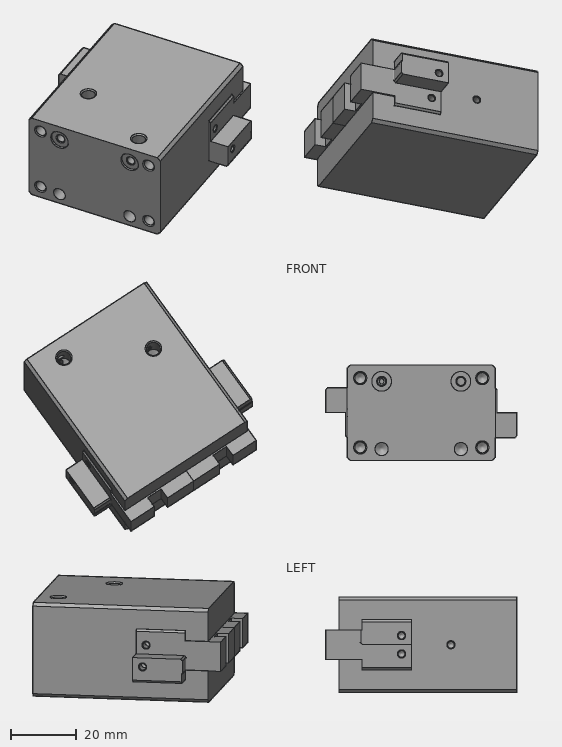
import cadquery as cq
import math


HOUSING_WIDTH = 45.0
HOUSING_LENGTH = 54.0
HOUSING_HEIGHT = 29.0
HOUSING_CHAMFER = 1.0
HOUSING_SIDE_X = HOUSING_WIDTH / 2
HOUSING_TOP_Z = HOUSING_HEIGHT / 2

OVERALL_WIDTH = 58.0
OVERALL_LENGTH = 58.0
JAW_REACH = 23.0
BASE_HALF_HEIGHT = 7.6
BASE_REAR_Y = 31.9
BASE_FRONT_Y = 47.0
BASE_EDGE_CHAMFER = 0.65
FINGER_HALF_HEIGHT = 4.5
LUG_REACH = OVERALL_WIDTH / 2
LUG_STEP = 0.3
LUG_INNER_CHAMFER = 0.5
LUG_ROOT_FILLET = 0.25
NOTCH_WIDTH = 4.9
NOTCH_DEPTH = 3.5

PORT_X = 12.0

DRILL_POINT_ANGLE = 118.0
CORNER_HOLE_X = 18.5
CORNER_HOLE_Z = 10.5
CORNER_HOLE_DIAMETER = 3.3
CORNER_HOLE_MOUTH = 4.0
CORNER_HOLE_DEPTH = 8.0
DOWEL_HOLE_Z = -11.0
DOWEL_HOLE_DIAMETER = 4.0
DOWEL_HOLE_DEPTH = 8.0
SCREW_HOLE_DIAMETER = 2.05
SCREW_HOLE_MOUTH = 2.5
SCREW_HOLE_DEPTH = 4.0
SIDE_HOLE_Y = 20.0
JAW_HOLE_Y = 35.0
JAW_HOLE_Z = 2.8

LEFT_PORT_Y = 18.9
RIGHT_PORT_Y = 6.0
PORT_DIAMETER = 4.2
PORT_MOUTH = 5.0
PORT_DEPTH = 6.95
PASSAGE_DIAMETER = 1.0
RIGHT_PASSAGE_OFFSET = -1.4

REAR_PORT_Z = 9.5
REAR_PORT_DIAMETER = 2.5
REAR_PORT_MOUTH = 3.0
REAR_PORT_RECESS_DIAMETER = 6.0
REAR_PORT_RECESS_DEPTH = 0.7
LEFT_REAR_PORT_DEPTH = 16.6

INTO_REAR = cq.Vector(0, 1, 0)
INTO_LEFT = cq.Vector(1, 0, 0)
INTO_TOP = cq.Vector(0, 0, -1)


def box_between(x_range, y_range, z_range):
    """Box given by its (low, high) limits on each axis."""
    sizes = [high - low for low, high in (x_range, y_range, z_range)]
    return cq.Workplane("XY").box(*sizes, centered=False).translate((x_range[0], y_range[0], z_range[0]))


def cylinder(diameter, depth, position, direction):
    """Flat-ended cylinder that starts at a position and runs along a direction."""
    return cq.Workplane(cq.Solid.makeCylinder(diameter / 2, depth, cq.Vector(*position), direction))


def drilled_hole(diameter, depth, position, direction, mouth=None):
    """Cutting body for a blind hole with a conical floor and an optional 45 degree countersink."""
    radius = diameter / 2
    start = cq.Vector(*position)
    point_length = radius / math.tan(math.radians(DRILL_POINT_ANGLE / 2))
    point = cq.Solid.makeCone(radius, 0, point_length, start + direction * depth, direction)
    hole = cylinder(diameter, depth, position, direction).union(cq.Workplane(point))
    if mouth is not None:
        sink_depth = (mouth - diameter) / 2
        sink = cq.Solid.makeCone(mouth / 2, radius, sink_depth, start, direction)
        hole = hole.union(cq.Workplane(sink))
    return hole



def housing_block():
    block = box_between(
        (-HOUSING_SIDE_X, HOUSING_SIDE_X), (0, HOUSING_LENGTH), (-HOUSING_TOP_Z, HOUSING_TOP_Z)
    )
    return block.edges("|Y").chamfer(HOUSING_CHAMFER)


def jaw_slot():
    """T-shaped slot across the full width, open at the front."""
    across = (-HOUSING_SIDE_X, HOUSING_SIDE_X)
    base_slot = box_between(across, (BASE_REAR_Y, BASE_FRONT_Y), (-BASE_HALF_HEIGHT, BASE_HALF_HEIGHT))
    finger_slot = box_between(
        across, (BASE_REAR_Y, HOUSING_LENGTH), (-FINGER_HALF_HEIGHT, FINGER_HALF_HEIGHT)
    )
    return base_slot.union(finger_slot)


def cut_mounting_holes(body):
    """Corner screw holes and dowel holes in the rear face."""
    for side in (-1, 1):
        for z in (-CORNER_HOLE_Z, CORNER_HOLE_Z):
            body = body.cut(drilled_hole(
                CORNER_HOLE_DIAMETER, CORNER_HOLE_DEPTH,
                (side * CORNER_HOLE_X, 0, z), INTO_REAR, CORNER_HOLE_MOUTH,
            ))
        body = body.cut(drilled_hole(
            DOWEL_HOLE_DIAMETER, DOWEL_HOLE_DEPTH, (side * PORT_X, 0, DOWEL_HOLE_Z), INTO_REAR
        ))
    return body


def cut_port_pair(body, x, port_y, passage_y, rear_depth):
    """Top port, the passage in its floor and the recessed rear port that meets it."""
    body = body.cut(drilled_hole(
        PORT_DIAMETER, PORT_DEPTH, (x, port_y, HOUSING_TOP_Z), INTO_TOP, PORT_MOUTH
    ))
    passage_top = HOUSING_TOP_Z - PORT_DEPTH
    body = body.cut(cylinder(PASSAGE_DIAMETER, passage_top, (x, passage_y, passage_top), INTO_TOP))
    body = body.cut(cylinder(
        REAR_PORT_RECESS_DIAMETER, REAR_PORT_RECESS_DEPTH, (x, 0, REAR_PORT_Z), INTO_REAR
    ))
    return body.cut(drilled_hole(
        REAR_PORT_DIAMETER, rear_depth - REAR_PORT_RECESS_DEPTH,
        (x, REAR_PORT_RECESS_DEPTH, REAR_PORT_Z), INTO_REAR, REAR_PORT_MOUTH,
    ))


def make_housing():
    body = housing_block().cut(jaw_slot())
    body = cut_mounting_holes(body)
    body = cut_port_pair(body, -PORT_X, LEFT_PORT_Y, LEFT_PORT_Y, LEFT_REAR_PORT_DEPTH)
    body = cut_port_pair(body, PORT_X, RIGHT_PORT_Y, RIGHT_PORT_Y + RIGHT_PASSAGE_OFFSET, RIGHT_PORT_Y)
    return body.cut(drilled_hole(
        SCREW_HOLE_DIAMETER, SCREW_HOLE_DEPTH, (-HOUSING_SIDE_X, SIDE_HOLE_Y, 0), INTO_LEFT, SCREW_HOLE_MOUTH
    ))



def jaw_base():
    """Sliding base with its outer lower edge chamfered."""
    base = box_between(
        (-JAW_REACH, 0), (BASE_REAR_Y, BASE_FRONT_Y), (-BASE_HALF_HEIGHT, BASE_HALF_HEIGHT)
    )
    return base.edges("|Y and <X and <Z").chamfer(BASE_EDGE_CHAMFER)


def jaw_finger():
    """Finger with a notch across its tip."""
    heights = (-FINGER_HALF_HEIGHT, FINGER_HALF_HEIGHT)
    finger = box_between((-JAW_REACH, 0), (BASE_REAR_Y, OVERALL_LENGTH), heights)
    notch = box_between(
        (-PORT_X - NOTCH_WIDTH / 2, -PORT_X + NOTCH_WIDTH / 2),
        (OVERALL_LENGTH - NOTCH_DEPTH, OVERALL_LENGTH), heights,
    )
    return finger.cut(notch)


def jaw_lug():
    """Lug on the upper half of the outer side, with a shallow step on its front at finger height."""
    upper = box_between((-LUG_REACH, -JAW_REACH), (BASE_REAR_Y, BASE_FRONT_Y), (0, BASE_HALF_HEIGHT))
    upper = upper.edges("|Y and <X and >Z").chamfer(BASE_EDGE_CHAMFER)
    step = box_between(
        (-LUG_REACH, -JAW_REACH), (BASE_REAR_Y, BASE_FRONT_Y + LUG_STEP), (0, FINGER_HALF_HEIGHT)
    )
    return upper.union(step).edges("|X and >Y and <Z").chamfer(LUG_INNER_CHAMFER)


def round_lug_root(jaw):
    """Small fillet where the front of the lug step meets the side of the finger."""
    root_middle = (-JAW_REACH, BASE_FRONT_Y + LUG_STEP, FINGER_HALF_HEIGHT / 2)
    return jaw.edges(cq.NearestToPointSelector(root_middle)).fillet(LUG_ROOT_FILLET)


def make_left_jaw():
    jaw = round_lug_root(jaw_base().union(jaw_finger()).union(jaw_lug()))
    hole_mouths = ((-LUG_REACH, JAW_HOLE_Z), (-JAW_REACH, -JAW_HOLE_Z))
    for x, z in hole_mouths:
        jaw = jaw.cut(drilled_hole(
            SCREW_HOLE_DIAMETER, SCREW_HOLE_DEPTH, (x, JAW_HOLE_Y, z), INTO_LEFT, SCREW_HOLE_MOUTH
        ))
    return jaw


def make_jaws():
    """Two equal jaws, half a turn apart about the Y axis."""
    jaws = []
    for turn in (0, 180):
        jaws.append(make_left_jaw().rotate((0, 0, 0), (0, 1, 0), turn))
    return jaws


housing = make_housing()
jaws = make_jaws()
result = cq.Compound.makeCompound([housing.val(), *[jaw.val() for jaw in jaws]])